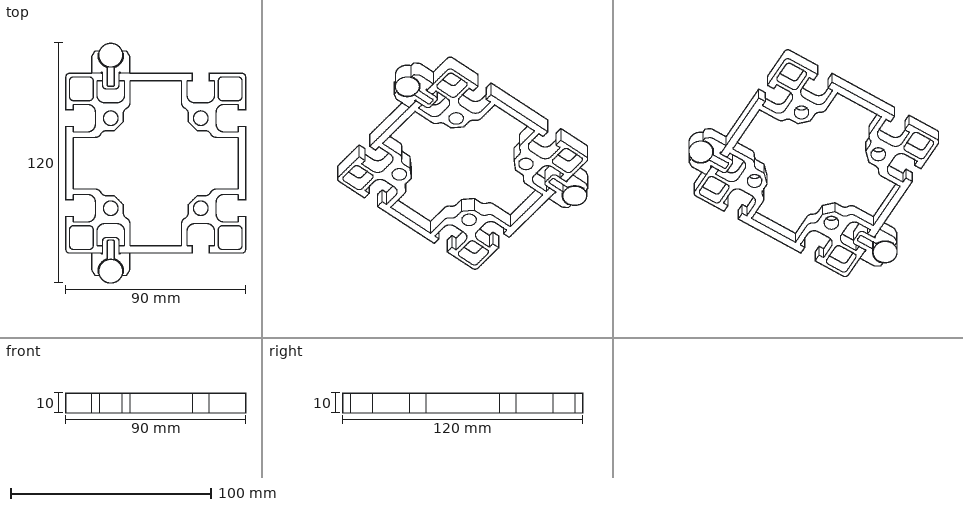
import cadquery as cq
import math

height = 10.0

frame_side = 90.0
half_side = frame_side / 2
slot_offset = frame_side / 4
lip_thickness = 3.8
slot_mouth = 8.3
slot_width = 13.7
slot_depth = 14.8
slot_radius = 3.8
outer_radius = 1.9

block_inner = 12.8
boss_inner = 16.2
boss_chamfer = 4.5
bend_start = 30.2
bend_length = 5.5
hole_diameter = 7.2
pocket_wall = 1.9
pocket_side = 11.8
pocket_radius = 1.9

pin_diameter = 12.0
pin_radius = pin_diameter / 2
overall_length = 120.0
pin_y = overall_length / 2 - pin_radius

holder_x = -slot_offset
holder_width = 19.1
holder_top = 56.2
holder_chamfer_x = 1.7
holder_chamfer_y = 2.6
holder_side_radius = 2.2
holder_top_radius = 0.6
tongue_reach = 7.9
tongue_radius = 1.8
split_width = 3.5
split_reach = 6.5
split_radius = 0.6
cradle_radius = 6.4
clip_rise = 1.0
relief_width = 0.6
relief_depth = 0.4


def block(width, length, x, y):
    """Upright box of full height, centred on (x, y)."""
    return cq.Workplane("XY").center(x, y).rect(width, length).extrude(height)


def disc(radius, x, y):
    """Upright cylinder of full height, centred on (x, y)."""
    return cq.Workplane("XY").center(x, y).circle(radius).extrude(height)


def round_edges(solid, points, radius):
    """Fillet the upright edges of a solid that pass through the given (x, y) points."""
    for x, y in points:
        edge_at_point = cq.selectors.NearestToPointSelector((x, y, height / 2))
        solid = solid.edges("|Z").edges(edge_at_point).fillet(radius)
    return solid


def y_slot():
    """T-slot void that opens on the +Y side of the corner block."""
    channel_depth = slot_depth - lip_thickness
    channel_y = half_side - lip_thickness - channel_depth / 2
    channel = block(slot_width, channel_depth, slot_offset, channel_y)
    channel = channel.edges("|Z and <Y").fillet(slot_radius)
    mouth = block(slot_mouth, lip_thickness, slot_offset, half_side - lip_thickness / 2)
    return channel.union(mouth)


def make_corner():
    """Corner block of the +X, +Y quadrant, symmetric about its diagonal."""
    chamfer_end = boss_inner + boss_chamfer
    bend_end = bend_start - bend_length
    half_step = (boss_inner - block_inner) / 2
    half_length = bend_length / 2
    corner = (
        cq.Workplane("XY")
        .moveTo(half_side, half_side)
        .lineTo(block_inner, half_side)
        .lineTo(block_inner, bend_start)
        .tangentArcPoint((half_step, -half_length))
        .tangentArcPoint((half_step, -half_length))
        .lineTo(boss_inner, chamfer_end)
        .lineTo(chamfer_end, boss_inner)
        .lineTo(bend_end, boss_inner)
        .tangentArcPoint((half_length, -half_step))
        .tangentArcPoint((half_length, -half_step))
        .lineTo(half_side, block_inner)
        .close()
        .extrude(height)
    )
    corner = corner.edges("|Z and >(1, 1, 0)").fillet(outer_radius)

    x_slot = y_slot().mirror("XZ").rotate((0, 0, 0), (0, 0, 1), 90)
    corner = corner.cut(y_slot()).cut(x_slot)

    corner = corner.cut(disc(hole_diameter / 2, slot_offset, slot_offset))
    pocket_centre = half_side - pocket_wall - pocket_side / 2
    pocket = block(pocket_side, pocket_side, pocket_centre, pocket_centre)
    return corner.cut(pocket.edges("|Z").fillet(pocket_radius))


def make_frame():
    """Four corner blocks joined by the plain walls between them."""
    corner = make_corner()
    wall = block(2 * block_inner, lip_thickness, 0, half_side - lip_thickness / 2)
    quarter = corner.union(wall)
    frame = quarter
    for turn in (90, 180, 270):
        frame = frame.union(quarter.rotate((0, 0, 0), (0, 0, 1), turn))
    return frame


def make_holder():
    """Holder on the +Y side of the frame."""
    half_width = holder_width / 2
    top_half_width = half_width - holder_chamfer_x
    chamfer_start = holder_top - holder_chamfer_y
    side_corners = [
        (holder_x - half_width, chamfer_start),
        (holder_x + half_width, chamfer_start),
    ]
    top_corners = [
        (holder_x - top_half_width, holder_top),
        (holder_x + top_half_width, holder_top),
    ]
    body_outline = [
        (holder_x + half_width, half_side),
        (holder_x - half_width, half_side),
        side_corners[0],
        top_corners[0],
        top_corners[1],
        side_corners[1],
    ]
    body = cq.Workplane("XY").polyline(body_outline).close().extrude(height)
    body = round_edges(body, side_corners, holder_side_radius)
    body = round_edges(body, top_corners, holder_top_radius)

    for side in (-1, 1):
        relief_x = holder_x + side * (slot_mouth + relief_width) / 2
        body = body.cut(block(relief_width, relief_depth, relief_x, half_side + relief_depth / 2))

    tongue = block(slot_mouth, tongue_reach, holder_x, half_side - tongue_reach / 2)
    holder = body.union(tongue.edges("|Z and <Y").fillet(tongue_radius))

    split_length = pin_y - half_side + split_reach
    split = block(split_width, split_length, holder_x, pin_y - split_length / 2)
    holder = holder.cut(split.edges("|Z and <Y").fillet(split_radius))

    cradle_half_angle = math.asin(clip_rise / cradle_radius)
    cradle_half_width = cradle_radius * math.cos(cradle_half_angle)
    clearance = (
        cq.Workplane("XY")
        .moveTo(holder_x - cradle_half_width, pin_y + clip_rise)
        .threePointArc(
            (holder_x, pin_y - cradle_radius),
            (holder_x + cradle_half_width, pin_y + clip_rise),
        )
        .close()
        .extrude(height)
    )
    return holder.cut(clearance).cut(disc(pin_radius, holder_x, pin_y))


def make_pin():
    """Pin clipped into the +Y holder."""
    return disc(pin_radius, holder_x, pin_y)


bodies = [make_frame().val()]
for make_body in (make_holder, make_pin):
    body = make_body()
    bodies.append(body.val())
    bodies.append(body.mirror("XZ").val())

result = cq.Compound.makeCompound(bodies)